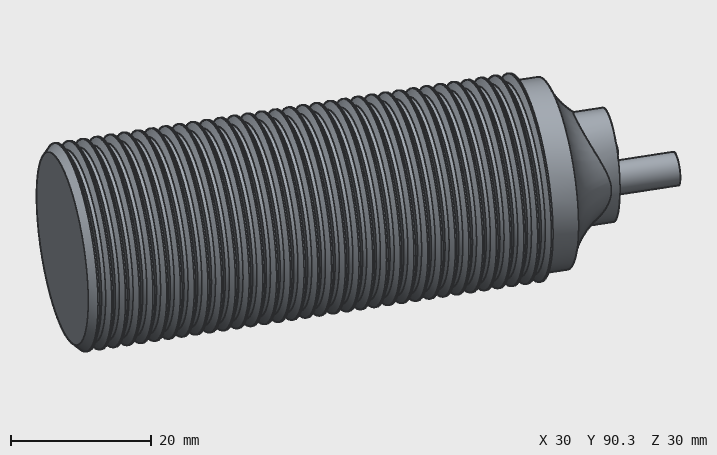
import cadquery as cq
import math

TOTAL_LENGTH = 90.3

THREAD_DIAMETER = 30.0
CORE_DIAMETER = 27.7
RIDGE_COUNT = 34
THREAD_END_Y = 68.1
CREST_WIDTH = 0.25
FLANK_ANGLE = 27.5
SHOULDER_Y = 72.2

NECK_TOP_RADIUS = 6.5
NECK_TOP_Y = 79.0
NECK_MID_RADIUS = 9.0
NECK_MID_Y = 75.3

HEAD_WIDTH = 2 * NECK_TOP_RADIUS
HEAD_HEIGHT = 17.7
HEAD_END_Y = 80.3

CABLE_DIAMETER = 4.9
CABLE_CENTER_Z = -CABLE_DIAMETER / 2

WINDOW_WIDTH = 7.4
WINDOW_HEIGHT = 2.9
WINDOW_THICKNESS = 0.6
WINDOW_ROUNDING = 0.45
WINDOW_CENTER_Z = 4.15

core_radius = CORE_DIAMETER / 2
crest_radius = THREAD_DIAMETER / 2
thread_depth = crest_radius - core_radius
flank_width = thread_depth * math.tan(math.radians(FLANK_ANGLE))
first_crest_y = thread_depth
last_crest_y = THREAD_END_Y - CREST_WIDTH
pitch = (last_crest_y - first_crest_y) / (RIDGE_COUNT - 1)


def barrel_and_neck():
    """Body of revolution about Y: 45 degree nose chamfer, ring ridges, collar and neck."""
    outline = [(0, 0), (core_radius, 0)]
    for index in range(RIDGE_COUNT):
        crest_start = first_crest_y + index * pitch
        crest_end = crest_start + CREST_WIDTH
        if index > 0:
            outline.append((core_radius, crest_start - flank_width))
        outline.append((crest_radius, crest_start))
        outline.append((crest_radius, crest_end))
        if index < RIDGE_COUNT - 1:
            outline.append((core_radius, crest_end + flank_width))
    outline.append((core_radius, THREAD_END_Y))
    outline.append((core_radius, SHOULDER_Y))
    return (
        cq.Workplane("XY")
        .polyline(outline)
        .threePointArc((NECK_MID_RADIUS, NECK_MID_Y), (NECK_TOP_RADIUS, NECK_TOP_Y))
        .lineTo(0, NECK_TOP_Y)
        .close()
        .revolve(360, (0, 0, 0), (0, 1, 0))
    )


def section_plane(y, z=0):
    """Plane across the axis with local x along X, local y along Z and normal towards -Y."""
    return cq.Workplane("XZ", origin=(0, y, z))


def head():
    return section_plane(HEAD_END_Y).ellipse(HEAD_WIDTH / 2, HEAD_HEIGHT / 2).extrude(HEAD_END_Y - SHOULDER_Y)


def cable():
    length = TOTAL_LENGTH - HEAD_END_Y
    return section_plane(TOTAL_LENGTH, CABLE_CENTER_Z).circle(CABLE_DIAMETER / 2).extrude(length)


def indicator_window():
    window_end_y = HEAD_END_Y + WINDOW_THICKNESS
    return (
        section_plane(window_end_y, WINDOW_CENTER_Z)
        .ellipse(WINDOW_WIDTH / 2, WINDOW_HEIGHT / 2)
        .extrude(WINDOW_THICKNESS)
        .faces(">Y")
        .fillet(WINDOW_ROUNDING)
    )


result = barrel_and_neck().union(head()).union(cable()).union(indicator_window())